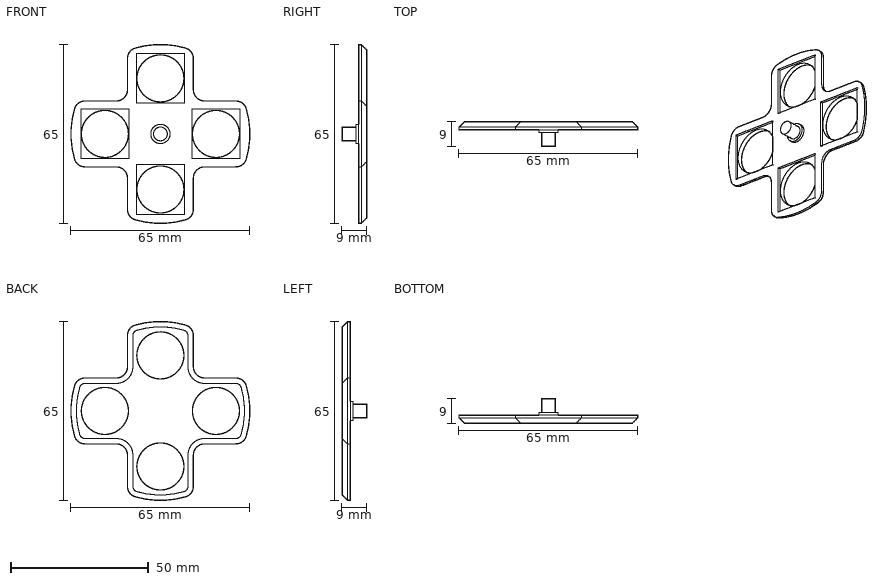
import cadquery as cq
import math

tip_radius = 32.5
arm_half_width = 12.0
corner_radius = 4.0
plate_thickness = 3.0
chamfer_size = 2.0

arm_count = 4
window_offset = 20.15
window_diameter = 17.0
recess_width = 17.5
recess_height = 18.0
recess_depth = 1.0

collar_diameter = 7.0
collar_height = 1.0
pin_diameter = 5.0
pin_height = 6.0


def front_plane(y=0.0):
    """Sketch plane with local x = X, local y = Z and normal -Y."""
    return cq.Workplane("XZ", origin=(0, y, 0))


def make_plate():
    """Two crossed bars trimmed by the tip circle, rounded and chamfered at the back."""
    bar_length = 2 * tip_radius
    bar_width = 2 * arm_half_width
    back = front_plane(plate_thickness)
    cross = back.rect(bar_length, bar_width).extrude(plate_thickness)
    cross = cross.union(back.rect(bar_width, bar_length).extrude(plate_thickness))
    disc = back.circle(tip_radius).extrude(plate_thickness)
    plate = cross.intersect(disc).edges("|Y").fillet(corner_radius)
    return plate.faces(">Y").edges().chamfer(chamfer_size)


def cut_windows(plate):
    """Cut the recess and the through window in every arm."""
    for arm in range(arm_count):
        angle = 2 * math.pi * arm / arm_count
        x = window_offset * math.cos(angle)
        z = window_offset * math.sin(angle)
        window = front_plane(plate_thickness).center(x, z)
        plate = plate.cut(window.circle(window_diameter / 2).extrude(plate_thickness))
        recess = front_plane(recess_depth).center(x, z)
        plate = plate.cut(recess.rect(recess_width, recess_height).extrude(recess_depth))
    return plate


def make_pin():
    """Pin and collar standing on the front face."""
    collar = front_plane().circle(collar_diameter / 2).extrude(collar_height)
    return collar.union(front_plane().circle(pin_diameter / 2).extrude(pin_height))


result = cut_windows(make_plate()).union(make_pin())